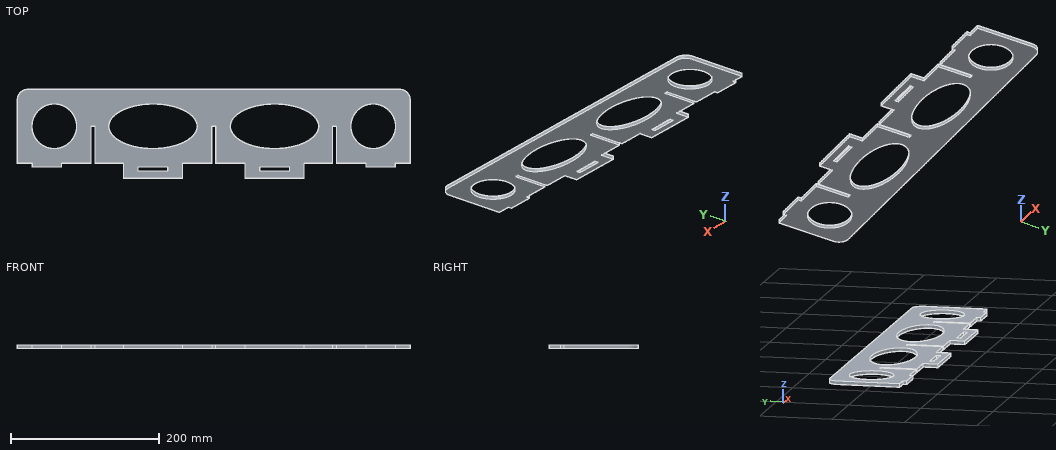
import cadquery as cq

length = 530.0
thickness = 5.0
body_width = 100.0
corner_radius = 15.0
bottom = -body_width / 2

edge_margin = 20.0
round_diameter = 60.0
oval_length = 118.5
oval_width = round_diameter
round_x = length / 2 - edge_margin - round_diameter / 2
oval_pitch = 164.0
oval_x = oval_pitch / 2

notch_width = thickness
notch_depth = body_width / 2
notch_pitch = 162.5

end_tab_length = 40.0
end_tab_height = thickness
end_tab_x = length / 2 - edge_margin - end_tab_length / 2
large_tab_length = 80.0
large_tab_height = 20.0

tab_slot_length = 40.0
tab_slot_width = thickness
tab_slot_y = bottom - thickness - tab_slot_width / 2


def mirrored(x, y=0):
    """Points at equal distances either side of the plate's middle."""
    return [(-x, y), (x, y)]


def tabs(x, tab_length, tab_height):
    """Pair of tabs hanging from the plate's lower edge."""
    return (
        cq.Workplane("XY")
        .pushPoints(mirrored(x, bottom - tab_height / 2))
        .rect(tab_length, tab_height)
        .extrude(thickness)
    )


body = (
    cq.Workplane("XY")
    .rect(length, body_width)
    .extrude(thickness)
    .edges("|Z and >Y")
    .fillet(corner_radius)
)
body = body.union(tabs(end_tab_x, end_tab_length, end_tab_height))
body = body.union(tabs(oval_x, large_tab_length, large_tab_height))

round_holes = (
    cq.Workplane("XY").pushPoints(mirrored(round_x)).circle(round_diameter / 2).extrude(thickness)
)
oval_holes = (
    cq.Workplane("XY")
    .pushPoints(mirrored(oval_x))
    .ellipse(oval_length / 2, oval_width / 2)
    .extrude(thickness)
)
notches = (
    cq.Workplane("XY")
    .center(0, bottom + notch_depth / 2)
    .rarray(notch_pitch, 5.5, 3, 1)
    .rect(notch_width, notch_depth)
    .extrude(thickness)
)
tab_slots = (
    cq.Workplane("XY")
    .pushPoints(mirrored(oval_x, tab_slot_y))
    .rect(tab_slot_length, tab_slot_width)
    .extrude(thickness)
)

result = body.cut(round_holes).cut(oval_holes).cut(notches).cut(tab_slots)